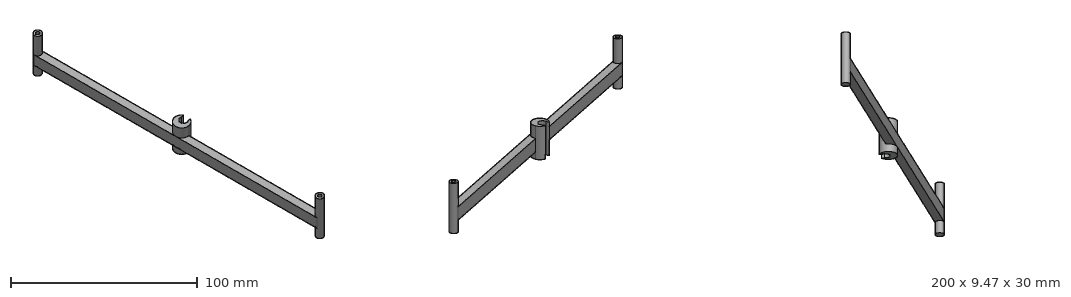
import cadquery as cq

bar_thickness = 5.0
bar_height = 8.0

overall_length = 200.0
post_diameter = bar_thickness
post_length = 30.0
post_drop = 7.25
post_top = post_length - post_drop
post_spacing = overall_length - post_diameter
post_hole_diameter = 2.3
post_hole_depth = post_top - bar_height

clip_diameter = 10.0
clip_length = 20.0
clip_drop = 4.5
clip_center_y = (clip_diameter - bar_thickness) / 2
clip_back_wall = 4.0
clip_bore_diameter = 5.0
clip_bore_y = -bar_thickness / 2 + clip_back_wall + clip_bore_diameter / 2
clip_mouth_width = 4.5


def cylinder(x, y, bottom, diameter, length):
    """Upright cylinder standing on the height `bottom`."""
    return cq.Workplane("XY", origin=(x, y, bottom)).circle(diameter / 2).extrude(length)


def cross_bar():
    """Straight bar that ends on the axes of the two posts."""
    return cq.Workplane("XY").rect(post_spacing, bar_thickness).extrude(bar_height)


def clip_body():
    """Solid outer cylinder of the clip."""
    return cylinder(0, clip_center_y, -clip_drop, clip_diameter, clip_length)


def clip_opening():
    """Bore of the clip together with its mouth, open toward +Y."""
    bore = cylinder(0, clip_bore_y, -clip_drop, clip_bore_diameter, clip_length)
    mouth = (
        cq.Workplane("XY", origin=(0, clip_bore_y, -clip_drop))
        .box(clip_mouth_width, clip_diameter, clip_length, centered=(True, False, False))
    )
    return bore.union(mouth)


def add_post(body, x):
    """Join a post to the body and drill the blind hole in its top end."""
    post = cylinder(x, 0, -post_drop, post_diameter, post_length)
    hole = cylinder(x, 0, post_top - post_hole_depth, post_hole_diameter, post_hole_depth)
    return body.union(post).cut(hole)


result = cross_bar().union(clip_body()).cut(clip_opening())
for post_x in (-post_spacing / 2, post_spacing / 2):
    result = add_post(result, post_x)